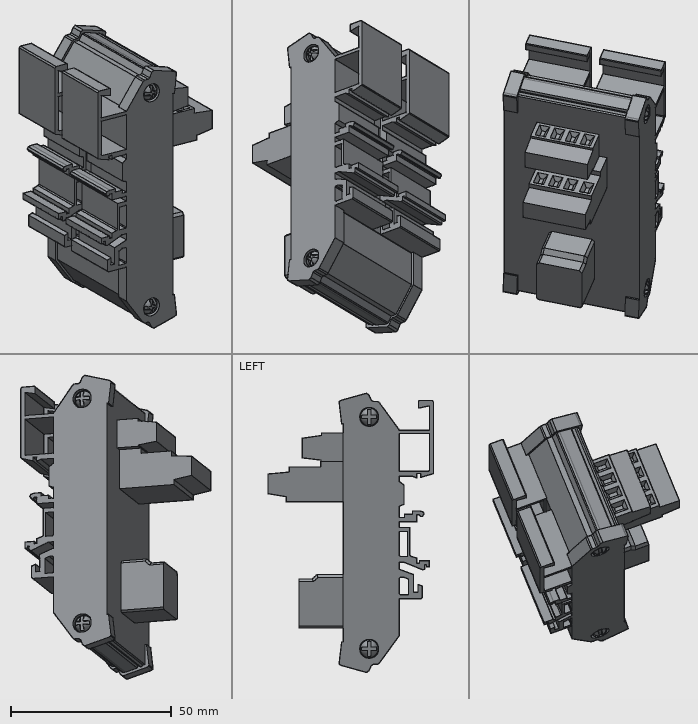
import cadquery as cq


HOUSING_WIDTH = 43.95
PLATE_THICKNESS = 4.4
FOOT_GAP = 4.1
FOOT_WIDTH = (HOUSING_WIDTH - FOOT_GAP) / 2
BODY_WIDTH = HOUSING_WIDTH - 2 * PLATE_THICKNESS

FRONT_Y = 17.5
BODY_REAR_Y = 0.7
FOOT_ROOT_Y = 1.3
REAR_BUMP_Y = -1.5

HALF_HEIGHT = 43.4
FOOT_TOP_Z = 32.0
FOOT_BOTTOM_Z = -20.5

REAR_RECESSES = [(20.6, 0.2), (16.8, 0.35)]

SCREW_Y = 9.4
SCREW_Z = 36.05
SCREW_RADIUS = 2.8
SCREW_HOLE_RADIUS = 2.95
SCREW_PROTRUSION = 0.95
CROSS_WIDTH = 1.1
CROSS_DEPTH = 1.3

PLUG_WIDTH = 20.2
UPPER_PLUG_X = -8.9
LOWER_PLUG_X = -11.4
UPPER_PLUG_TOP_Z = 31.1
PLUG_JOINT_Z = 22.15
LOWER_PLUG_TOP_Z = 20.5
SOCKET_PITCH = 4.9
UPPER_SOCKET_X = [-6.1 + index * SOCKET_PITCH for index in range(4)]
LOWER_SOCKET_X = [-8.9] + [-3.65 + index * SOCKET_PITCH for index in range(3)]
UPPER_SOCKET_Y = 20.85
LOWER_SOCKET_Y = 30.9
SOCKET_WIDTH = 3.3
SOCKET_LENGTH = 4.8
SOCKET_WALL_DRAW_IN = 1.0
SOCKET_DEPTH = 1.3

BLOCK_WIDTH = 14.8
BLOCK_FRONT_Y = 31.3
BLOCK_SHOULDER_Y = 25.6
BLOCK_TIP_Y = 27.1
BLOCK_TOP_Z = -12.95
BLOCK_TIP_Z = -14.3
BLOCK_BOTTOM_Z = -29.6
BLOCK_TOP_CHAMFER = 0.9
BLOCK_BOTTOM_CHAMFER = 0.6


def extrude_profile(points, x_start, width):
    """Extrude a closed (y, z) outline along +X."""
    return cq.Workplane("YZ").workplane(offset=x_start).polyline(points).close().extrude(width)


def block(x_range, y_range, z_range):
    """Axis-aligned box given by its limits."""
    sizes = [high - low for low, high in (x_range, y_range, z_range)]
    corner = (x_range[0], y_range[0], z_range[0])
    return cq.Workplane("XY").box(*sizes, centered=False).translate(corner)


def mirrored(upper_half):
    """Complete an outline with its reflection about Z = 0."""
    return upper_half + [(y, -z) for y, z in reversed(upper_half)]


def make_end_plate(x_start):
    upper_half = [
        (FRONT_Y, 33.9),
        (18.0, 33.9),
        (18.8, 40.6),
        (18.7, 40.9),
        (18.1, 41.3),
        (10.25, HALF_HEIGHT),
        (9.5, 42.9),
        (8.7, 41.3),
        (8.2, 40.9),
        (6.8, 40.9),
        (6.25, 40.6),
        (0, FOOT_TOP_Z),
    ]
    return extrude_profile(mirrored(upper_half), x_start, PLATE_THICKNESS)


def make_body():
    upper_half = [
        (FRONT_Y, 40.3),
        (16.85, 40.5),
        (16.2, 41.0),
        (15.2, 40.6),
        (14.9, 41.3),
        (11.1, 42.3),
        (10.3, 42.3),
        (9.9, 42.1),
        (8.7, 40.2),
        (6.9, 40.2),
        (BODY_REAR_Y, 31.7),
    ]
    body = extrude_profile(mirrored(upper_half), -BODY_WIDTH / 2, BODY_WIDTH)
    for half_height, depth in REAR_RECESSES:
        body = body.cut(
            block(
                (-BODY_WIDTH / 2, BODY_WIDTH / 2),
                (0, BODY_REAR_Y + depth),
                (-half_height, half_height),
            )
        )
    return body


def make_foot(x_start):
    """Rail foot: base wall, marker holder, rail stop and three spring clips."""
    base = [
        (FOOT_ROOT_Y, FOOT_TOP_Z),
        (0, FOOT_TOP_Z),
        (0, 16.0),
        (REAR_BUMP_Y, 14.85),
        (REAR_BUMP_Y, 8.9),
        (0, 8.25),
        (0, FOOT_BOTTOM_Z),
        (FOOT_ROOT_Y, FOOT_BOTTOM_Z),
    ]
    marker_holder = [
        (0, FOOT_TOP_Z),
        (-9.3, FOOT_TOP_Z),
        (-9.3, 39.4),
        (-5.9, 38.75),
        (-5.9, 40.9),
        (-6.2, 41.2),
        (-10.25, 41.2),
        (-10.7, 40.65),
        (-10.7, 18.6),
        (-10.4, 18.3),
        (-6.6, 17.2),
        (-6.6, 18.4),
        (-5.5, 18.4),
        (-5.5, 17.0),
        (-4.1, 17.55),
        (0, 17.55),
    ]
    marker_window = [(0, 30.8), (-9.3, 30.8), (-9.3, 19.5), (-9.0, 19.2), (0, 19.2)]
    upper_clip = [
        (0, 4.8),
        (-1.6, 4.8),
        (-1.6, 5.8),
        (-4.1, 5.8),
        (-4.1, 6.9),
        (-6.2, 6.9),
        (-7.3, 6.6),
        (-7.7, 5.9),
        (-7.1, 5.0),
        (-6.6, 5.0),
        (-6.2, 5.6),
        (-5.5, 5.6),
        (-5.5, 3.4),
        (0, 3.4),
    ]
    middle_clip = [
        (0, 1.7),
        (-3.3, 1.7),
        (-3.3, -6.95),
        (-3.7, -7.3),
        (-5.5, -7.8),
        (-5.5, -9.4),
        (-6.25, -9.4),
        (-6.25, -8.6),
        (-9.3, -8.6),
        (-9.3, -10.6),
        (-8.4, -10.6),
        (-8.4, -10.0),
        (-7.9, -10.0),
        (-7.9, -11.3),
        (-7.3, -11.55),
        (-1.6, -9.2),
        (0, -9.2),
    ]
    middle_window = [(0, 0.35), (-2.5, 0.35), (-2.5, -7.3), (-0.35, -7.3), (0, -7.0)]
    lower_clip = [
        (0, -11.3),
        (-4.4, -12.95),
        (-4.4, -18.4),
        (-5.7, -18.4),
        (-5.7, -16.0),
        (-7.1, -16.5),
        (-7.1, -20.15),
        (-6.8, FOOT_BOTTOM_Z),
        (0, FOOT_BOTTOM_Z),
    ]
    lower_window = [
        (0, -14.1),
        (-0.35, -13.8),
        (-1.4, -13.8),
        (-2.8, -14.4),
        (-2.8, -19.2),
        (-0.35, -19.2),
        (0, -18.9),
    ]
    foot = extrude_profile(base, x_start, FOOT_WIDTH)
    for outline in (marker_holder, upper_clip, middle_clip, lower_clip):
        foot = foot.union(extrude_profile(outline, x_start, FOOT_WIDTH))
    for window in (marker_window, middle_window, lower_window):
        foot = foot.cut(extrude_profile(window, x_start, FOOT_WIDTH))
    return foot


def make_sockets(centres_x, centre_y, top_z):
    """Row of wire funnels tapering down from a plug's top face."""
    sockets = cq.Workplane("XY")
    for centre_x in centres_x:
        funnel = (
            cq.Workplane("XY", origin=(centre_x, centre_y, top_z))
            .rect(SOCKET_WIDTH, SOCKET_LENGTH)
            .workplane(offset=-SOCKET_DEPTH)
            .rect(SOCKET_WIDTH - 2 * SOCKET_WALL_DRAW_IN, SOCKET_LENGTH - 2 * SOCKET_WALL_DRAW_IN)
            .loft()
        )
        sockets = sockets.add(funnel)
    return sockets.combine()


def make_upper_plug():
    outline = [
        (FRONT_Y, UPPER_PLUG_TOP_Z),
        (24.2, UPPER_PLUG_TOP_Z),
        (24.2, 30.3),
        (30.2, 29.45),
        (30.2, 23.3),
        (24.4, 22.6),
        (24.4, PLUG_JOINT_Z),
        (FRONT_Y, PLUG_JOINT_Z),
    ]
    plug = extrude_profile(outline, UPPER_PLUG_X, PLUG_WIDTH)
    return plug.cut(make_sockets(UPPER_SOCKET_X, UPPER_SOCKET_Y, UPPER_PLUG_TOP_Z))


def make_lower_plug():
    outline = [
        (FRONT_Y, PLUG_JOINT_Z),
        (24.5, PLUG_JOINT_Z),
        (24.5, LOWER_PLUG_TOP_Z),
        (34.3, LOWER_PLUG_TOP_Z),
        (34.3, 18.9),
        (40.9, 18.3),
        (40.9, 12.2),
        (35.2, 11.2),
        (35.2, 9.6),
        (FRONT_Y, 9.6),
    ]
    plug = extrude_profile(outline, LOWER_PLUG_X, PLUG_WIDTH)
    return plug.cut(make_sockets(LOWER_SOCKET_X, LOWER_SOCKET_Y, LOWER_PLUG_TOP_Z))


def make_connector_block():
    outline = [
        (FRONT_Y, BLOCK_TOP_Z),
        (BLOCK_SHOULDER_Y, BLOCK_TOP_Z),
        (BLOCK_TIP_Y, BLOCK_TIP_Z),
        (BLOCK_FRONT_Y, BLOCK_TIP_Z),
        (BLOCK_FRONT_Y, BLOCK_BOTTOM_Z),
        (FRONT_Y, BLOCK_BOTTOM_Z),
    ]
    connector = extrude_profile(outline, -BLOCK_WIDTH / 2, BLOCK_WIDTH)
    connector = connector.faces("<Z").edges("|Y").chamfer(BLOCK_BOTTOM_CHAMFER)
    top_faces = cq.selectors.BoxSelector(
        (-BLOCK_WIDTH, FRONT_Y, BLOCK_TIP_Z - BLOCK_TOP_CHAMFER),
        (BLOCK_WIDTH, BLOCK_FRONT_Y, BLOCK_TOP_Z + BLOCK_TOP_CHAMFER),
    )
    side_edges = connector.edges(top_faces).edges("not |X").edges("not |Z")
    return side_edges.chamfer(BLOCK_TOP_CHAMFER)


def add_screw(housing, side, z):
    """Sink a cross-slotted dome head into an end plate; side is -1 or +1 along X."""
    apex_x = side * (HOUSING_WIDTH / 2 + SCREW_PROTRUSION)
    equator_x = apex_x - side * SCREW_RADIUS
    hole = (
        cq.Workplane("YZ", origin=(equator_x, SCREW_Y, z))
        .circle(SCREW_HOLE_RADIUS)
        .extrude(side * SCREW_RADIUS)
    )
    head = cq.Workplane("XY").sphere(SCREW_RADIUS).translate((equator_x, SCREW_Y, z))
    cross_size = 2 * SCREW_RADIUS
    for slot_size in ((cross_size, CROSS_WIDTH), (CROSS_WIDTH, cross_size)):
        slot = (
            cq.Workplane("YZ", origin=(apex_x, SCREW_Y, z))
            .rect(*slot_size)
            .extrude(-side * CROSS_DEPTH)
        )
        head = head.cut(slot)
    return housing.cut(hole).union(head)


result = make_body()
result = result.union(make_end_plate(-HOUSING_WIDTH / 2))
result = result.union(make_end_plate(HOUSING_WIDTH / 2 - PLATE_THICKNESS))
result = result.union(make_foot(-HOUSING_WIDTH / 2))
result = result.union(make_foot(FOOT_GAP / 2))
result = result.union(make_upper_plug())
result = result.union(make_lower_plug())
result = result.union(make_connector_block())
for screw_side in (-1, 1):
    for screw_z in (-SCREW_Z, SCREW_Z):
        result = add_screw(result, screw_side, screw_z)